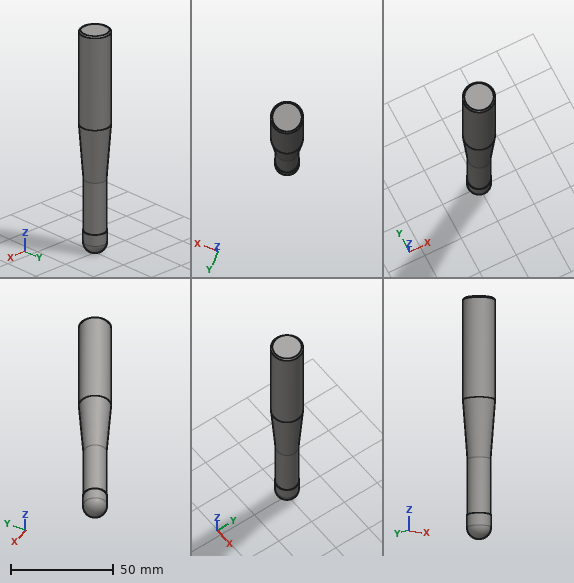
import cadquery as cq

total_length = 120.0
shank_bottom = 69.4
taper_bottom = 40.0
head_top = 12.0

shank_diameter = 16.0
neck_diameter = 11.5
head_diameter = 12.0

shank_chamfer = 0.8

shank_radius = shank_diameter / 2
neck_radius = neck_diameter / 2
head_radius = head_diameter / 2


def make_shank():
    """Straight cylindrical shank with a chamfered upper end."""
    shank = cq.Workplane("XY", origin=(0, 0, shank_bottom))
    shank = shank.circle(shank_radius).extrude(total_length - shank_bottom)
    return shank.faces(">Z").edges().chamfer(shank_chamfer)


def make_neck():
    """Cylindrical neck that widens in a cone up to the shank diameter."""
    profile = (
        cq.Workplane("XZ")
        .moveTo(0, head_top)
        .lineTo(neck_radius, head_top)
        .lineTo(neck_radius, taper_bottom)
        .lineTo(shank_radius, shank_bottom)
        .lineTo(0, shank_bottom)
        .close()
    )
    return profile.revolve(360, (0, 0, 0), (0, 1, 0))


def make_ball_head():
    """Short cylinder closed at its lower end by a hemisphere."""
    arc_offset = head_radius * 0.5 ** 0.5
    profile = (
        cq.Workplane("XZ")
        .moveTo(0, 0)
        .threePointArc((arc_offset, head_radius - arc_offset), (head_radius, head_radius))
        .lineTo(head_radius, head_top)
        .lineTo(0, head_top)
        .close()
    )
    return profile.revolve(360, (0, 0, 0), (0, 1, 0))


shank = make_shank()
neck = make_neck()
ball_head = make_ball_head()

result = cq.Compound.makeCompound([shank.val(), neck.val(), ball_head.val()])